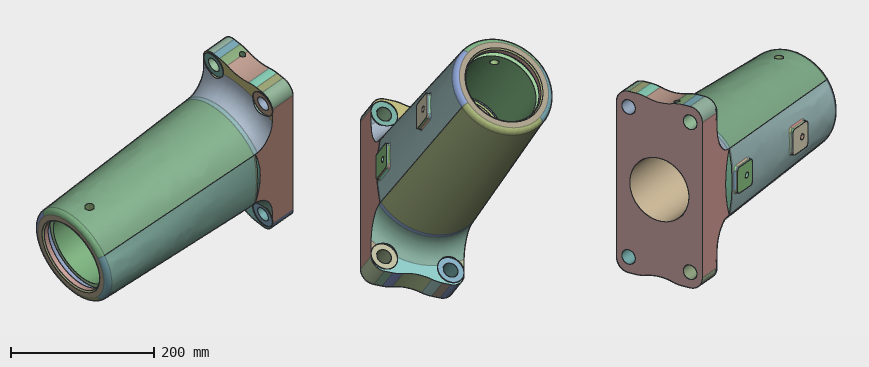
import cadquery as cq
import math

total_length = 360.0

flange_width = 140.0
flange_height = 278.0
flange_thickness = 40.0
flange_corner_radius = 20.0
waist_height = 266.8
waist_flat_end_x = 37.5
waist_dip_radius = 75.0

bolt_spacing_x = 100.0
bolt_spacing_z = 229.5
bolt_hole_diameter = 22.0
spot_face_diameter = 40.0
spot_face_depth = 1.0

barrel_width = 150.0
barrel_root_radius = 86.8
tip_radius = barrel_width / 2
tip_corner_angle = 36.8
tip_fillet = 8.0
side_start = 75.2
side_lip_length = 3.0
side_bevel_length = 9.5
neck_fillet = 30.0

bore_diameter = 96.0
bore_chamfer = 2.0
seat_diameter = 112.0
seat_depth = 140.0
seat_end_chamfer = 1.5
lip_diameter = 113.0
lip_chamfer = 2.0
groove_diameter = 125.0
groove_start = 9.7
groove_width = 9.5

pad_size = 40.0
pad_corner_radius = 5.0
pad_rise = 4.5
pad_base_fillet = 2.5
pad_edge_margin = 0.5
pad_positions = (100.0, 250.2)
pad_hole_diameter = 8.5
pad_hole_offset = 5.0

tip_hole_diameter = 13.0
tip_hole_from_tip = 35.5
flange_hole_diameter = 8.5
flange_hole_x = -22.5
flange_hole_from_back = 9.7
flange_hole_depth = 20.0

pad_face_x = barrel_width / 2 + pad_rise
flange_half_width = flange_width / 2
flange_half_height = flange_height / 2


def section_plane(distance):
    """Plane across the bore axis, at a distance in front of the flange back."""
    return cq.Workplane("XZ", origin=(0, -distance, 0))


def flange_plate():
    """Plate with rounded corners and a smooth dip in its top and bottom edges."""
    dip = flange_half_height - waist_height / 2
    sweep_angle = 2 * math.atan(dip / waist_flat_end_x)
    join_x = waist_dip_radius * math.sin(sweep_angle)
    join_z = waist_height / 2 + waist_dip_radius * (1 - math.cos(sweep_angle))
    corner_x = flange_half_width - flange_corner_radius
    corner_z = flange_half_height - flange_corner_radius

    def wavy_edge(outline, side):
        """Add one long wavy edge with its two corners; side is 1 for top, -1 for bottom."""
        return (
            outline.tangentArcPoint((side * corner_x, side * flange_half_height), relative=False)
            .lineTo(side * waist_flat_end_x, side * flange_half_height)
            .tangentArcPoint((side * join_x, side * join_z), relative=False)
            .threePointArc((0, side * waist_height / 2), (-side * join_x, side * join_z))
            .tangentArcPoint((-side * waist_flat_end_x, side * flange_half_height), relative=False)
            .lineTo(-side * corner_x, side * flange_half_height)
            .tangentArcPoint((-side * flange_half_width, side * corner_z), relative=False)
        )

    outline = section_plane(0).moveTo(flange_half_width, -corner_z).lineTo(flange_half_width, corner_z)
    outline = wavy_edge(outline, 1).lineTo(-flange_half_width, -corner_z)
    return wavy_edge(outline, -1).close().extrude(flange_thickness)


neck_centre = flange_thickness + neck_fillet
taper = math.atan((barrel_root_radius - tip_radius) / (total_length - neck_centre))


def cone_radius(distance):
    """Radius of the barrel cone at a distance in front of the flange back."""
    return tip_radius + (total_length - distance) * math.tan(taper)


def neck():
    """Flared root of the cone, trimmed to the flange width."""
    fillet_end = neck_centre - neck_fillet * math.sin(taper)
    fillet_end_radius = cone_radius(fillet_end)
    centre_radius = fillet_end_radius + neck_fillet * math.cos(taper)
    middle_angle = taper / 2 + math.pi / 4
    middle_radius = centre_radius - neck_fillet * math.cos(middle_angle)
    middle = neck_centre - neck_fillet * math.sin(middle_angle)
    flare = (
        cq.Workplane("XY")
        .moveTo(0, 0)
        .lineTo(centre_radius, 0)
        .lineTo(centre_radius, -flange_thickness)
        .threePointArc((middle_radius, -middle), (fillet_end_radius, -fillet_end))
        .lineTo(cone_radius(side_start), -side_start)
        .lineTo(0, -side_start)
        .close()
        .revolve(360, (0, 0, 0), (0, 1, 0))
    )
    slab = cq.Workplane("XY").box(flange_width, total_length, flange_height)
    return flare.intersect(slab)


side_corner_z = math.sqrt(cone_radius(side_start) ** 2 - flange_half_width ** 2)
side_bulge = tip_radius - flange_half_width


def four_arc_section(workplane, corner_x, corner_z, radius):
    """Closed outline of two side arcs and the top and bottom arcs of a circle."""
    return (
        workplane.moveTo(corner_x, -corner_z)
        .threePointArc((tip_radius, 0), (corner_x, corner_z))
        .threePointArc((0, radius), (-corner_x, corner_z))
        .threePointArc((-tip_radius, 0), (-corner_x, -corner_z))
        .threePointArc((0, -radius), (corner_x, -corner_z))
        .close()
    )


def barrel():
    """Ruled body from the bulged root section to the round tip."""
    angle = math.radians(tip_corner_angle)
    tip_x = tip_radius * math.cos(angle)
    tip_z = tip_radius * math.sin(angle)
    root = four_arc_section(section_plane(side_start), flange_half_width, side_corner_z,
                            cone_radius(side_start))
    sections = root.workplane(offset=total_length - side_start)
    body = four_arc_section(sections, tip_x, tip_z, tip_radius).loft(ruled=True)
    return body.faces("<Y").edges().fillet(tip_fillet)


def side_section(workplane, inset):
    """Outline with bulged sides, both moved toward the axis by the inset."""
    corner_x = flange_half_width - inset
    return (
        workplane.moveTo(corner_x, -side_corner_z)
        .threePointArc((corner_x + side_bulge, 0), (corner_x, side_corner_z))
        .lineTo(-corner_x, side_corner_z)
        .threePointArc((-corner_x - side_bulge, 0), (-corner_x, -side_corner_z))
        .close()
    )


def side_shoulders():
    """Bevelled rear ends of the two bulged sides."""
    bevel_front = side_start - side_lip_length
    lip = side_section(section_plane(bevel_front), 0).extrude(side_lip_length)
    rear = side_section(section_plane(bevel_front - side_bevel_length), side_bulge)
    bevel = side_section(rear.workplane(offset=side_bevel_length), 0).loft(ruled=True)
    return bevel.union(lip)


def add_pad(body, distance):
    """Raise one square pad on the -X side, blended into the barrel."""
    pad = (
        cq.Workplane("YZ", origin=(-pad_face_x, -distance, 0))
        .rect(pad_size, pad_size)
        .extrude(pad_face_x - seat_diameter / 2)
        .edges("|X")
        .fillet(pad_corner_radius)
    )
    reach = pad_size / 2 + pad_edge_margin
    face_limit = -pad_face_x + pad_edge_margin
    root_limit = -flange_half_width
    pad_zone = cq.selectors.BoxSelector(
        (face_limit, -distance - reach, -reach),
        (root_limit, -distance + reach, reach),
    )
    joined = body.union(pad)
    return joined.edges(pad_zone).edges("not |X").fillet(pad_base_fillet)


def bore_cutter():
    """Through bore with a grooved bearing seat at the tip."""
    bore = bore_diameter / 2
    seat = seat_diameter / 2
    lip = lip_diameter / 2
    groove = groove_diameter / 2
    groove_front = groove_start - total_length
    groove_back = groove_front + groove_width
    shoulder = seat_depth - total_length
    return (
        cq.Workplane("XY")
        .moveTo(0, -total_length)
        .lineTo(lip + lip_chamfer, -total_length)
        .lineTo(lip, lip_chamfer - total_length)
        .lineTo(lip, groove_front)
        .lineTo(groove, groove_front)
        .lineTo(groove, groove_back)
        .lineTo(seat, groove_back)
        .lineTo(seat, shoulder - seat_end_chamfer)
        .lineTo(seat - seat_end_chamfer, shoulder)
        .lineTo(bore + bore_chamfer, shoulder)
        .lineTo(bore, shoulder + bore_chamfer)
        .lineTo(bore, 0)
        .lineTo(0, 0)
        .close()
        .revolve(360, (0, 0, 0), (0, 1, 0))
    )


def bolt_cutter():
    """Four bolt holes with spot faces that also clear the neck."""
    def at_bolts(distance):
        return section_plane(distance).rect(bolt_spacing_x, bolt_spacing_z, forConstruction=True).vertices()

    holes = at_bolts(0).circle(bolt_hole_diameter / 2).extrude(flange_thickness)
    spot_face_level = flange_thickness - spot_face_depth
    spot_faces = at_bolts(spot_face_level).circle(spot_face_diameter / 2).extrude(neck_fillet)
    return holes.union(spot_faces)


def radial_hole_cutter():
    """Holes into the bore from the top and the pads, and a blind hole in the flange top."""
    tip_hole = (
        cq.Workplane("XY", origin=(0, tip_hole_from_tip - total_length, 0))
        .circle(tip_hole_diameter / 2)
        .extrude(barrel_root_radius)
    )
    flange_hole = (
        cq.Workplane("XY", origin=(flange_hole_x, -flange_hole_from_back, flange_half_height))
        .circle(flange_hole_diameter / 2)
        .extrude(-flange_hole_depth)
    )
    cutter = tip_hole.union(flange_hole)
    for distance in pad_positions:
        pad_hole = (
            cq.Workplane("YZ", origin=(-pad_face_x, -distance - pad_hole_offset, 0))
            .circle(pad_hole_diameter / 2)
            .extrude(pad_face_x)
        )
        cutter = cutter.union(pad_hole)
    return cutter


solid = barrel()
for pad_distance in pad_positions:
    solid = add_pad(solid, pad_distance)
solid = solid.union(neck()).union(side_shoulders()).union(flange_plate())
result = solid.cut(bore_cutter()).cut(bolt_cutter()).cut(radial_hole_cutter())